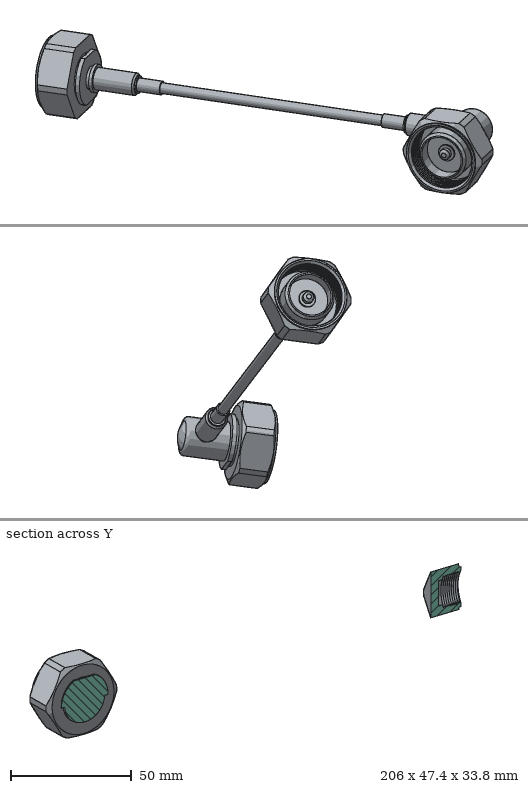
import cadquery as cq
import math

OVERALL_LENGTH = 206.0
ROLL_ANGLE = 3.0

NUT_ACROSS_FLATS = 32.0
NUT_CORNER_RADIUS = 17.7
NUT_LENGTH = 15.3
NUT_LIP_RADIUS = 15.5
NUT_LIP_LENGTH = 0.8
NUT_CHAMFER_LENGTH = 1.2
NUT_BORE_RADIUS = 13.5
NUT_BORE_CHAMFER = 1.0
NUT_BACK_WALL = 4.1
NUT_BORE_FLOOR = NUT_LENGTH - NUT_BACK_WALL
THREAD_PITCH = 1.0
THREAD_DEPTH = 0.8
THREAD_COUNT = 8

SLEEVE_RADIUS = 10.5
SLEEVE_BORE_RADIUS = 8.9
SLEEVE_FRONT = 1.0
SLEEVE_FLOOR = 6.8
SLEEVE_RIM_WIDTH = 0.6
SLEEVE_TAPER_LENGTH = 1.2
PIN_RADIUS = 2.3
PIN_TIP_RADIUS = 1.0
PIN_CHAMFER = 0.8
PIN_FRONT = 3.3
PIN_SHOULDER_RADIUS = 3.5
PIN_SHOULDER_FRONT = 6.0
COLLAR_RADIUS = 10.0
FLANGE_RADIUS = 11.7
FLANGE_ACROSS_FLATS = 21.0
FLANGE_START = 16.5
FLANGE_END = 18.3

CRIMP_RADIUS = 4.7
CRIMP_CHAMFER = 0.8
CRIMP_STEP_RADIUS = 3.7
CRIMP_STEP_LENGTH = 0.6
FERRULE_RADIUS = 2.9
FERRULE_LENGTH = 10.3

STEM_RADIUS = 5.0
RING_RADIUS = 6.0
RING_START = 20.0
RING_END = 21.5
STRAIGHT_CRIMP_END = 39.5

ELBOW_X = OVERALL_LENGTH - NUT_CORNER_RADIUS
ELBOW_REACH = 28.9
ELBOW_RADIUS = 8.2
ELBOW_SHOULDER_Y = 6.4
ELBOW_EDGE_RADIUS = 1.6
ELBOW_CROWN_Y = 9.9
ELBOW_DOME_RADIUS = 6.2
ELBOW_NECK_RADIUS = 4.1
ELBOW_CRIMP_START = 179.0
ELBOW_CRIMP_END = 161.4

CABLE_RADIUS = 2.3


def rod(radius, start, end):
    """Cylinder on the X axis between two positions."""
    return cq.Workplane("YZ", origin=(start, 0, 0)).circle(radius).extrude(end - start)


def turned(profile):
    """Solid of revolution about X from (x, radius) points."""
    return cq.Workplane("XY").polyline(profile).close().revolve(360, (0, 0, 0), (1, 0, 0))


def make_nut(back_radius):
    """Hexagon nut with its front face at x = 0; its back edge tapers to `back_radius`."""
    chamfer_end = NUT_LIP_LENGTH + NUT_CHAMFER_LENGTH
    envelope = turned([
        (0, 0),
        (0, NUT_LIP_RADIUS),
        (NUT_LIP_LENGTH, NUT_LIP_RADIUS),
        (chamfer_end, NUT_CORNER_RADIUS),
        (NUT_LENGTH - NUT_CHAMFER_LENGTH, NUT_CORNER_RADIUS),
        (NUT_LENGTH, back_radius),
        (NUT_LENGTH, 0),
    ])
    across_corners = 2 * NUT_ACROSS_FLATS / math.sqrt(3)
    hexagon = cq.Workplane("YZ").polygon(6, across_corners).extrude(NUT_LENGTH)
    thread_grooves = []
    for turn in range(THREAD_COUNT):
        groove_start = NUT_BORE_CHAMFER + turn * THREAD_PITCH
        thread_grooves.append((groove_start, NUT_BORE_RADIUS))
        thread_grooves.append((groove_start + THREAD_PITCH / 2, NUT_BORE_RADIUS + THREAD_DEPTH))
    bore = turned([
        (0, 0),
        (0, NUT_BORE_RADIUS + NUT_BORE_CHAMFER),
        *thread_grooves,
        (NUT_BORE_CHAMFER + THREAD_COUNT * THREAD_PITCH, NUT_BORE_RADIUS),
        (NUT_BORE_FLOOR, NUT_BORE_RADIUS),
        (NUT_BORE_FLOOR, COLLAR_RADIUS),
        (NUT_LENGTH, COLLAR_RADIUS),
        (NUT_LENGTH, 0),
    ])
    return envelope.intersect(hexagon).cut(bore)


def make_mating_end():
    """Contact sleeve with its centre pin, collar and wrench flange, front toward -X."""
    sleeve = turned([
        (SLEEVE_FRONT, SLEEVE_BORE_RADIUS),
        (SLEEVE_FRONT, SLEEVE_BORE_RADIUS + SLEEVE_RIM_WIDTH),
        (SLEEVE_FRONT + SLEEVE_TAPER_LENGTH, SLEEVE_RADIUS),
        (NUT_BORE_FLOOR, SLEEVE_RADIUS),
        (NUT_BORE_FLOOR, COLLAR_RADIUS),
        (FLANGE_START, COLLAR_RADIUS),
        (FLANGE_START, 0),
        (SLEEVE_FLOOR, 0),
        (SLEEVE_FLOOR, SLEEVE_BORE_RADIUS),
    ])
    pin = turned([
        (PIN_FRONT, 0),
        (PIN_FRONT, PIN_TIP_RADIUS),
        (PIN_FRONT + PIN_CHAMFER, PIN_RADIUS),
        (PIN_SHOULDER_FRONT, PIN_RADIUS),
        (PIN_SHOULDER_FRONT, PIN_SHOULDER_RADIUS),
        (SLEEVE_FLOOR, PIN_SHOULDER_RADIUS),
        (SLEEVE_FLOOR, 0),
    ])
    flange_length = FLANGE_END - FLANGE_START
    flats = cq.Workplane("XY").box(flange_length, 2 * FLANGE_RADIUS, FLANGE_ACROSS_FLATS)
    flats = flats.translate(((FLANGE_START + FLANGE_END) / 2, 0, 0))
    flange = rod(FLANGE_RADIUS, FLANGE_START, FLANGE_END).intersect(flats)
    return sleeve.union(pin).union(flange)


def make_cable_entry(start, crimp_end):
    """Crimp tube from `start` to `crimp_end`, stepping down to the ferrule, cable side toward +X."""
    step_end = crimp_end + CRIMP_STEP_LENGTH
    crimp = rod(CRIMP_RADIUS, start, crimp_end).faces(">X").chamfer(CRIMP_CHAMFER)
    step = rod(CRIMP_STEP_RADIUS, crimp_end, step_end)
    ferrule = rod(FERRULE_RADIUS, step_end, step_end + FERRULE_LENGTH)
    return crimp.union(step).union(ferrule)


def make_straight_plug():
    """Straight plug: mating end, ringed stem and cable entry in one line."""
    stem = rod(STEM_RADIUS, FLANGE_END, RING_END)
    ring = rod(RING_RADIUS, RING_START, RING_END)
    entry = make_cable_entry(RING_END, STRAIGHT_CRIMP_END)
    return make_mating_end().union(stem).union(ring).union(entry)


def face_elbow(shape):
    """Turn a shape made along X so that its front faces -Y at the elbow."""
    return shape.rotate((0, 0, 0), (0, 0, 1), 90).translate((ELBOW_X, -ELBOW_REACH, 0))


def make_elbow_barrel():
    """Round barrel along Y behind the flange, with a rounded edge and a domed end."""
    barrel_start = FLANGE_END - ELBOW_REACH
    edge_top = ELBOW_SHOULDER_Y + ELBOW_EDGE_RADIUS
    edge_inner = ELBOW_RADIUS - ELBOW_EDGE_RADIUS
    edge_mid = ELBOW_EDGE_RADIUS * math.sqrt(0.5)
    dome_rise = ELBOW_CROWN_Y - edge_top
    sphere_radius = (ELBOW_DOME_RADIUS**2 + dome_rise**2) / (2 * dome_rise)
    dome_mid_x = ELBOW_DOME_RADIUS / 2
    dome_mid_y = ELBOW_CROWN_Y - sphere_radius + math.sqrt(sphere_radius**2 - dome_mid_x**2)
    profile = (
        cq.Workplane("XY")
        .moveTo(0, barrel_start)
        .lineTo(ELBOW_RADIUS, barrel_start)
        .lineTo(ELBOW_RADIUS, ELBOW_SHOULDER_Y)
        .threePointArc((edge_inner + edge_mid, ELBOW_SHOULDER_Y + edge_mid), (edge_inner, edge_top))
        .lineTo(ELBOW_DOME_RADIUS, edge_top)
        .threePointArc((dome_mid_x, dome_mid_y), (0, ELBOW_CROWN_Y))
        .close()
    )
    return profile.revolve(360, (0, 0, 0), (0, 1, 0)).translate((ELBOW_X, 0, 0))


def make_elbow_plug():
    """Right-angle plug: the cable enters the barrel from the -X side."""
    neck = rod(ELBOW_NECK_RADIUS, ELBOW_CRIMP_START, ELBOW_X)
    entry = make_cable_entry(-ELBOW_CRIMP_START, -ELBOW_CRIMP_END).rotate((0, 0, 0), (0, 0, 1), 180)
    return face_elbow(make_mating_end()).union(make_elbow_barrel()).union(neck).union(entry)


def make_cable():
    """Plain cable between the two ferrule ends."""
    tail = CRIMP_STEP_LENGTH + FERRULE_LENGTH
    return rod(CABLE_RADIUS, STRAIGHT_CRIMP_END + tail, ELBOW_CRIMP_END - tail)


def rolled(shape):
    """Solid of a shape after the roll about the cable axis."""
    return shape.rotate((0, 0, 0), (1, 0, 0), ROLL_ANGLE).val()


nuts = [make_nut(NUT_CORNER_RADIUS), face_elbow(make_nut(NUT_LIP_RADIUS))]
straight_plug = make_straight_plug()
elbow_plug = make_elbow_plug()
cable = make_cable()

bodies = [*nuts, straight_plug, elbow_plug, cable]
result = cq.Compound.makeCompound([rolled(body) for body in bodies])